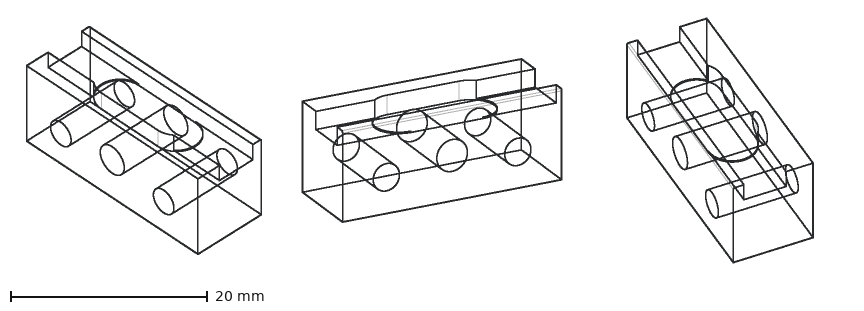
import cadquery as cq

length = 25.0
depth = 9.0
height = 10.0
rear_edge_radius = 0.2

rear_wall = 1.2
groove_width = 4.75
groove_depth = 2.0

pocket_length = 13.6
pocket_width = 5.35
pocket_sink = 0.15

centre_hole_diameter = 3.5
centre_hole_height = height / 2
side_hole_diameter = 3.0
side_hole_height = 4.0
side_hole_spacing = 15.0

middle_x = length / 2
groove_rear_y = depth - rear_wall


def make_block():
    block = cq.Workplane("XY").box(length, depth, height, centered=False)
    return block.edges(">Y and >Z").fillet(rear_edge_radius)


def make_groove():
    groove = cq.Workplane("XY").box(length, groove_width, groove_depth, centered=False)
    return groove.translate((0, groove_rear_y - groove_width, height - groove_depth))


def make_pocket():
    pocket_depth = groove_depth + pocket_sink
    return (
        cq.Workplane("XY", origin=(middle_x, groove_rear_y - pocket_width / 2, height))
        .slot2D(pocket_length, pocket_width)
        .extrude(-pocket_depth)
    )


def make_cross_hole(x, z, diameter):
    return cq.Workplane("XZ", origin=(x, 0, z)).circle(diameter / 2).extrude(-depth)


result = make_block().cut(make_groove()).cut(make_pocket())
result = result.cut(make_cross_hole(middle_x, centre_hole_height, centre_hole_diameter))
for side in (-1, 1):
    side_hole_x = middle_x + side * side_hole_spacing / 2
    result = result.cut(make_cross_hole(side_hole_x, side_hole_height, side_hole_diameter))